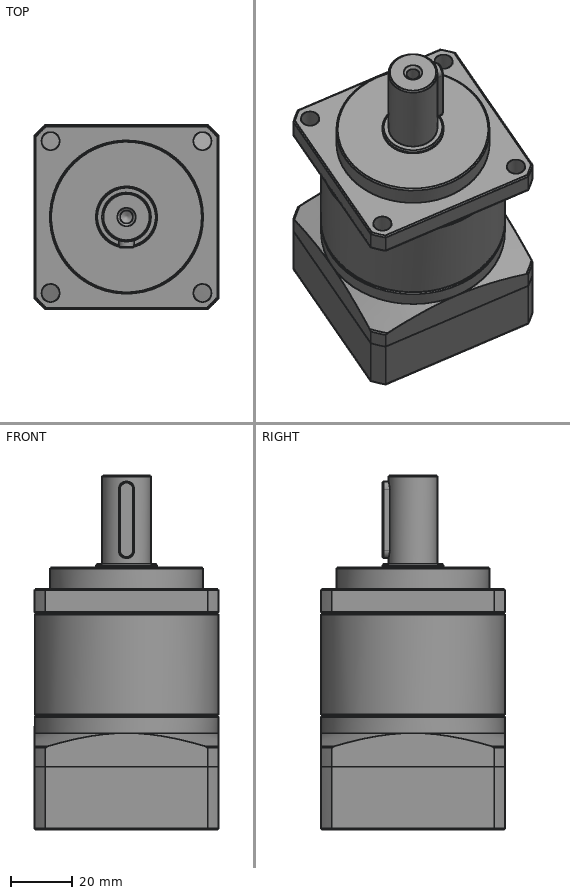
import cadquery as cq
import math

square_width = 60.0
corner_radius = 40.0
edge_chamfer = 0.5

adapter_height = 20.5

cone_drop = 4.3
neck_bottom = 31.5
neck_top = 37.2

flange_height = 8.0
pilot_diameter = 50.0
pilot_height = 7.0

shaft_diameter = 16.0
shaft_length = 30.0
total_height = 115.5
collar_diameter = 20.0
collar_height = 1.1

centre_hole_diameter = 4.2
centre_hole_depth = 12.5
drill_point_angle = 118.0
countersink_diameter = 6.0
countersink_angle = 90.0

bolt_circle_diameter = 70.0
bolt_hole_diameter = 5.9

key_width = 5.0
key_height = 5.0
key_length = 25.0
key_seat_depth = 3.0
key_end_distance = 2.0
key_chamfer = 0.4

pilot_top = total_height - shaft_length
flange_top = pilot_top - pilot_height
flange_bottom = flange_top - flange_height
body_radius = square_width / 2


def disc(diameter, bottom, height):
    return cq.Workplane("XY").workplane(offset=bottom).circle(diameter / 2).extrude(height)


def turned_square(bottom, height):
    """Square block whose four corners are turned down to corner_radius."""
    block = cq.Workplane("XY").workplane(offset=bottom).rect(square_width, square_width).extrude(height)
    return block.intersect(disc(2 * corner_radius, bottom, height))


def make_input_section():
    """Square block under a conical shoulder, bevelled where it meets the turned corners."""
    cone_bottom = neck_bottom - cone_drop
    turned_shoulder = (
        cq.Workplane("XZ")
        .moveTo(0, adapter_height)
        .lineTo(corner_radius, adapter_height)
        .lineTo(corner_radius, cone_bottom - edge_chamfer)
        .lineTo(corner_radius - edge_chamfer, cone_bottom)
        .lineTo(body_radius, neck_bottom)
        .lineTo(0, neck_bottom)
        .close()
        .revolve(360, (0, 0, 0), (0, 1, 0))
    )
    shoulder = turned_shoulder.intersect(turned_square(adapter_height, neck_bottom - adapter_height))
    neck = disc(square_width, neck_bottom, neck_top - neck_bottom).faces(">Z").chamfer(edge_chamfer)
    return shoulder.union(neck)


def make_ring():
    """Round middle section with both ends chamfered, leaving a V groove at each joint."""
    return disc(square_width, neck_top, flange_bottom - neck_top).faces("<Z or >Z").chamfer(edge_chamfer)


def make_output_flange():
    flange = turned_square(flange_bottom, flange_height).faces("<Z or >Z").chamfer(edge_chamfer)
    bolt_holes = (
        cq.Workplane("XY")
        .workplane(offset=flange_bottom)
        .polarArray(bolt_circle_diameter / 2, 45, 360, 4)
        .circle(bolt_hole_diameter / 2)
        .extrude(flange_height)
    )
    pilot = disc(pilot_diameter, flange_top, pilot_height).faces(">Z").chamfer(edge_chamfer)
    collar = disc(collar_diameter, pilot_top, collar_height).faces(">Z").chamfer(edge_chamfer)
    return flange.cut(bolt_holes).union(pilot).union(collar)


def make_drill_point():
    """Cone that the drill leaves at the bottom of the centre hole."""
    hole_radius = centre_hole_diameter / 2
    point_depth = hole_radius / math.tan(math.radians(drill_point_angle / 2))
    point_base = cq.Vector(0, 0, total_height - centre_hole_depth)
    return cq.Solid.makeCone(hole_radius, 0, point_depth, point_base, cq.Vector(0, 0, -1))


def make_shaft():
    shaft = disc(shaft_diameter, pilot_top, shaft_length).faces(">Z").chamfer(edge_chamfer)
    shaft = shaft.faces(">Z").workplane().cskHole(
        centre_hole_diameter, countersink_diameter, countersink_angle, centre_hole_depth
    )
    return shaft.cut(make_drill_point())


def make_key():
    """Round-ended parallel key on the -Y side of the shaft."""
    seat_y = -(shaft_diameter / 2 - key_seat_depth)
    key_centre_z = total_height - key_end_distance - key_length / 2
    return (
        cq.Workplane("XZ", origin=(0, seat_y, key_centre_z))
        .slot2D(key_length, key_width, 90)
        .extrude(key_height)
        .faces("<Y")
        .chamfer(key_chamfer)
    )


key = make_key()
adapter = turned_square(0, adapter_height).faces("<Z").chamfer(edge_chamfer)
gearbox = make_input_section().union(make_ring()).union(make_output_flange()).union(make_shaft()).cut(key)

result = cq.Compound.makeCompound([adapter.val(), gearbox.val(), key.val()])